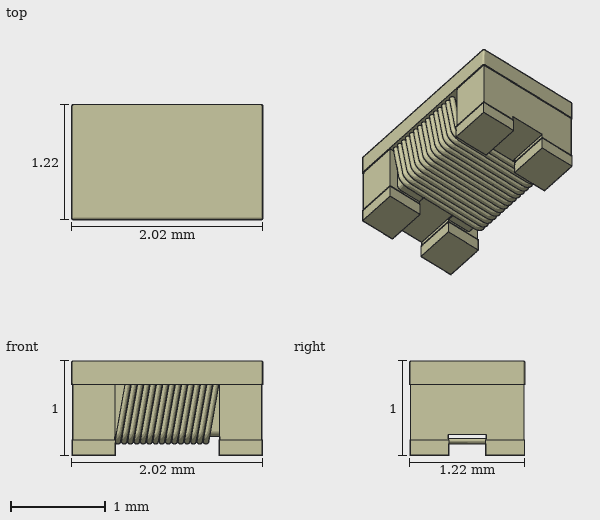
import cadquery as cq
import math

CAP_LENGTH = 2.02
CAP_WIDTH = 1.22
CAP_BOTTOM = 0.75
TOTAL_HEIGHT = 1.0
CAP_EDGE_RADIUS = 0.02

BODY_LENGTH = 2.0
BODY_WIDTH = 1.2
LEG_LENGTH = 0.447
LEG_INNER_X = BODY_LENGTH / 2 - LEG_LENGTH
LEG_CENTER_X = (BODY_LENGTH - LEG_LENGTH) / 2
NOTCH_WIDTH = 0.4
NOTCH_TOP = 0.22

PLATING = 0.005
TERMINAL_HEIGHT = 0.165

CORE_WIDTH = 1.0
CORE_BOTTOM = 0.2
CORE_EDGE_RADIUS = 0.05

WIRE_RADIUS = 0.03
CORE_CLEARANCE = 0.02
WIRE_OFFSET = CORE_CLEARANCE + WIRE_RADIUS
COIL_HALF_WIDTH = CORE_WIDTH / 2 + WIRE_OFFSET
COIL_BOTTOM = CORE_BOTTOM - WIRE_OFFSET
COIL_CORNER_RADIUS = CORE_EDGE_RADIUS + WIRE_OFFSET
TURN_COUNT = 15
TURN_PITCH = 0.0665
FIRST_TURN_X = -0.522
TURN_LEAN = 10.0
CAP_OVERLAP = 0.05
TURN_END_Z = CAP_BOTTOM + CAP_OVERLAP


def block(length, width, bottom, top, center_x=0.0, center_y=0.0):
    """Box standing on the plane z = bottom, centred on the given x and y."""
    solid = cq.Workplane("XY").box(length, width, top - bottom, centered=(True, True, False))
    return solid.translate((center_x, center_y, bottom))


def make_cap():
    cap = block(CAP_LENGTH, CAP_WIDTH, CAP_BOTTOM, TOTAL_HEIGHT)
    return cap.edges("|Z or >Z").fillet(CAP_EDGE_RADIUS)


def make_body():
    """Core and two legs, with one notch running through all three along X."""
    core = block(2 * LEG_INNER_X, CORE_WIDTH, CORE_BOTTOM, CAP_BOTTOM)
    body = core.edges("|X and <Z").fillet(CORE_EDGE_RADIUS)
    for side in (-1, 1):
        body = body.union(block(LEG_LENGTH, BODY_WIDTH, 0, CAP_BOTTOM, side * LEG_CENTER_X))
    return body.cut(block(BODY_LENGTH, NOTCH_WIDTH, 0, NOTCH_TOP))


def make_terminals():
    """Four plated feet, one around each leg foot."""
    foot_width = (BODY_WIDTH - NOTCH_WIDTH) / 2
    foot_center_y = (BODY_WIDTH - foot_width) / 2
    length = LEG_LENGTH + 2 * PLATING
    width = foot_width + 2 * PLATING
    terminals = cq.Workplane("XY")
    for x in (-LEG_CENTER_X, LEG_CENTER_X):
        for y in (-foot_center_y, foot_center_y):
            terminals = terminals.add(block(length, width, 0, TERMINAL_HEIGHT, x, y))
    return terminals.combine()


def make_turn():
    """U-shaped turn in a plane leaning toward +X, with its bottom centre line along Y."""
    corner = COIL_CORNER_RADIUS
    flat_half = COIL_HALF_WIDTH - corner
    diagonal = corner * math.sqrt(0.5)
    side_height = (TURN_END_Z - COIL_BOTTOM) / math.cos(math.radians(TURN_LEAN))
    path = (
        cq.Workplane("YZ")
        .moveTo(-COIL_HALF_WIDTH, side_height)
        .lineTo(-COIL_HALF_WIDTH, corner)
        .threePointArc((-flat_half - diagonal, corner - diagonal), (-flat_half, 0))
        .lineTo(flat_half, 0)
        .threePointArc((flat_half + diagonal, corner - diagonal), (COIL_HALF_WIDTH, corner))
        .lineTo(COIL_HALF_WIDTH, side_height)
    )
    section = cq.Workplane("XY", origin=(0, -COIL_HALF_WIDTH, side_height)).circle(WIRE_RADIUS)
    turn = section.sweep(path)
    return turn.rotate((0, 0, 0), (0, 1, 0), TURN_LEAN)


def make_winding():
    """Row of equally spaced turns along X."""
    turn = make_turn()
    winding = cq.Workplane("XY")
    for index in range(TURN_COUNT):
        turn_x = FIRST_TURN_X + index * TURN_PITCH
        winding = winding.add(turn.translate((turn_x, 0, COIL_BOTTOM)))
    return winding.combine()


result = make_body().union(make_terminals()).union(make_cap()).union(make_winding())